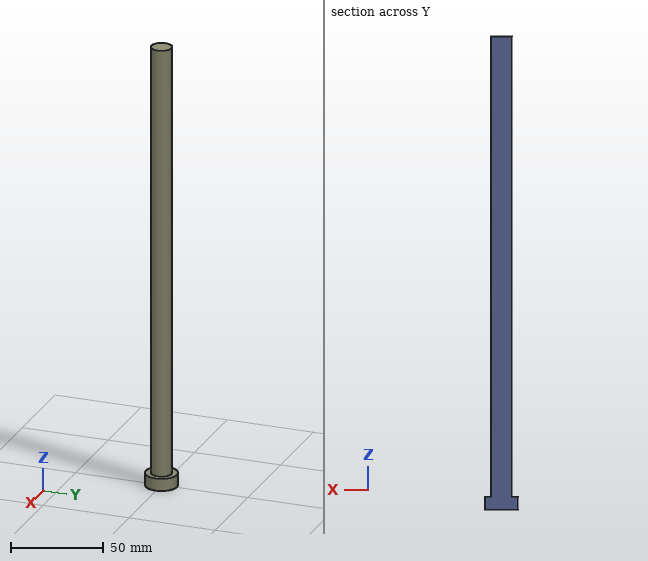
import cadquery as cq

total_length = 257.0
head_diameter = 18.0
head_height = 7.2
shaft_diameter = 11.5

head = cq.Workplane("XY").circle(head_diameter / 2).extrude(head_height)
shaft = cq.Workplane("XY").circle(shaft_diameter / 2).extrude(total_length)

result = head.union(shaft)